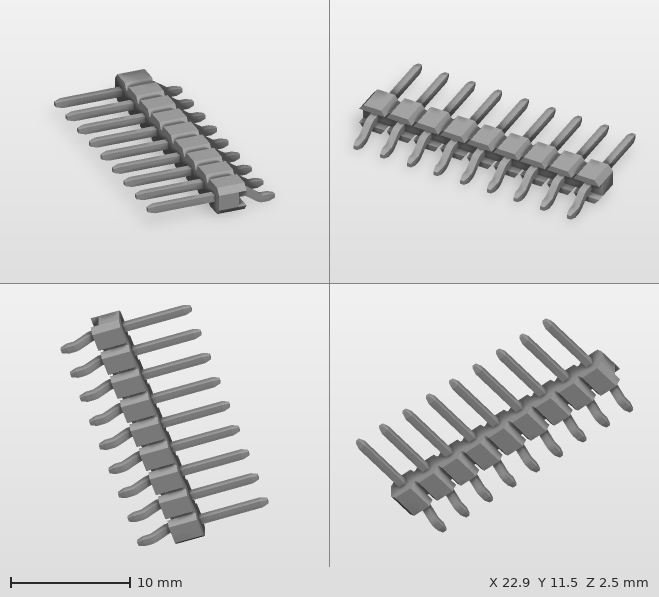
import cadquery as cq
import math


pin_count = 9
body_length = 22.85
pitch = body_length / pin_count
body_height = 2.5
body_depth = 2.5
land_width = 1.65
notch_depth = 0.55
notch_floor_width = 0.18
recess_depth = 0.69
neck_height = body_height - 2 * notch_depth

pin_width = 0.65
mating_length = 6.0
tail_reach = 3.02
tip_length = 0.57
tip_width = 0.37

bend_angle = math.radians(35)
inner_radius = 0.37
outer_radius = inner_radius + pin_width
foot_length = 1.1

tail_end = body_depth + tail_reach
foot_axis_z = (pin_width - body_height) / 2
tip_taper = math.degrees(math.atan((pin_width - tip_width) / 2 / tip_length))


def build_insulator():
    half_length = body_length / 2
    half_height = body_height / 2
    half_neck = neck_height / 2
    first_pin_x = -half_length + pitch / 2

    upper_edge = [(-half_length, half_neck)]
    for i in range(pin_count):
        pin_x = first_pin_x + i * pitch
        if i > 0:
            notch_x = pin_x - pitch / 2
            upper_edge.append((notch_x - notch_floor_width / 2, half_neck))
            upper_edge.append((notch_x + notch_floor_width / 2, half_neck))
        upper_edge.append((pin_x - land_width / 2, half_height))
        upper_edge.append((pin_x + land_width / 2, half_height))
    upper_edge.append((half_length, half_neck))
    lower_edge = [(x, -z) for x, z in reversed(upper_edge)]

    body = cq.Workplane("XZ").polyline(upper_edge + lower_edge).close().extrude(-body_depth)
    recess = cq.Workplane("XY").box(
        body_length, recess_depth, neck_height, centered=(True, False, True)
    ).translate((0, body_depth - recess_depth, 0))
    return body.cut(recess)


def arc_point(center, radius, angle):
    """Point at an angle from +Z, positive towards +Y."""
    return (center[0] + radius * math.sin(angle), center[1] + radius * math.cos(angle))


def build_pin():
    half = pin_width / 2
    mean_radius = inner_radius + half

    bend_drop = 2 * mean_radius * (1 - math.cos(bend_angle))
    slope_length = (-foot_axis_z - bend_drop) / math.sin(bend_angle)
    bend_run = 2 * mean_radius * math.sin(bend_angle) + slope_length * math.cos(bend_angle)

    lower_bend_y = tail_end - foot_length
    upper_bend_y = lower_bend_y - bend_run
    upper_center = (upper_bend_y, -mean_radius)
    lower_center = (lower_bend_y, foot_axis_z + mean_radius)

    shank_start = -mating_length + tip_length
    foot_end = tail_end - tip_length
    downward = math.pi

    blank = (
        cq.Workplane("YZ")
        .moveTo(shank_start, half)
        .lineTo(upper_bend_y, half)
        .threePointArc(
            arc_point(upper_center, outer_radius, bend_angle / 2),
            arc_point(upper_center, outer_radius, bend_angle),
        )
        .lineTo(*arc_point(lower_center, inner_radius, downward + bend_angle))
        .threePointArc(
            arc_point(lower_center, inner_radius, downward + bend_angle / 2),
            arc_point(lower_center, inner_radius, downward),
        )
        .lineTo(foot_end, foot_axis_z + half)
        .lineTo(foot_end, foot_axis_z - half)
        .lineTo(lower_bend_y, foot_axis_z - half)
        .threePointArc(
            arc_point(lower_center, outer_radius, downward + bend_angle / 2),
            arc_point(lower_center, outer_radius, downward + bend_angle),
        )
        .lineTo(*arc_point(upper_center, inner_radius, bend_angle))
        .threePointArc(
            arc_point(upper_center, inner_radius, bend_angle / 2),
            arc_point(upper_center, inner_radius, 0),
        )
        .lineTo(shank_start, -half)
        .close()
        .extrude(half, both=True)
    )
    mating_tip = build_tip(shank_start, 0, -1)
    tail_tip = build_tip(foot_end, foot_axis_z, 1)
    return blank.union(mating_tip).union(tail_tip)


def build_tip(base_y, axis_z, direction):
    """Tapered square tip that points along +Y (direction 1) or -Y (direction -1)."""
    base = cq.Plane(origin=(0, base_y, axis_z), xDir=(1, 0, 0), normal=(0, direction, 0))
    return cq.Workplane(base).rect(pin_width, pin_width).extrude(tip_length, taper=tip_taper)


result = build_insulator()
pin = build_pin()
for i in range(pin_count):
    pin_x = (i - (pin_count - 1) / 2) * pitch
    result = result.union(pin.translate((pin_x, 0, 0)))